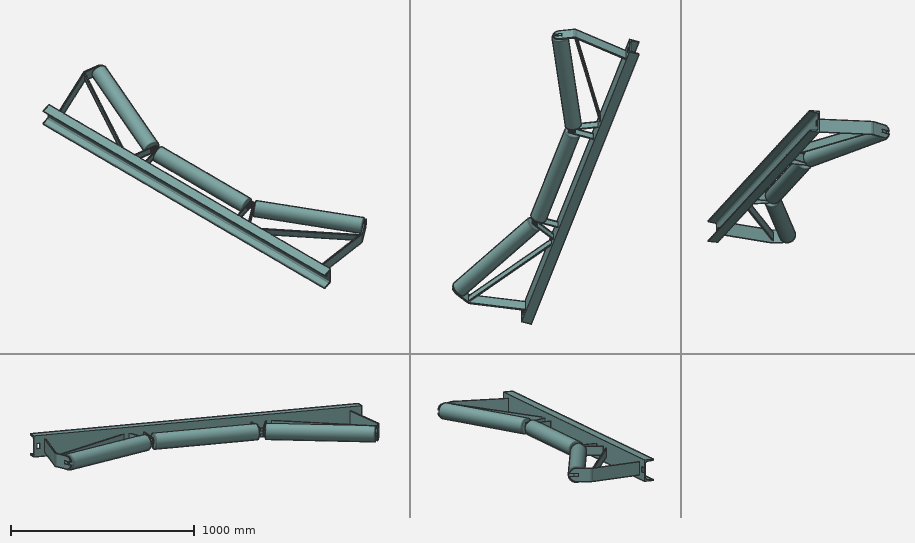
import cadquery as cq
import math


beam_length = 1900.0
beam_height = 120.0
beam_depth = 55.0
web_thickness = 8.0
flange_mean_thickness = 9.0
flange_slope = 0.08
root_radius = 8.0
toe_radius = 4.5
mount_slot_width = 17.0
mount_slot_height = 28.0
mount_slot_inset = 28.0

trough_angle = 25.0
roller_radius = 44.6
roller_length = 600.0
roller_rim = 4.0
shaft_diameter = 27.0
shaft_flat_width = 17.0
center_roller_height = 115.0
wing_roller_x = 620.0
wing_roller_height = 253.0

outer_plate_width = 75.0
inner_plate_width = 50.0
outer_plate_thickness = 8.0
inner_plate_thickness = 5.0
outer_foot_x = 887.0
outer_bend_x = 939.0
outer_bend_height = 308.0
outer_bend_radius = 19.0
inner_foot_x = 391.0
inner_upright_x = 308.0
inner_top_height = 142.0
brace_thickness = 8.0
brace_width = 45.0
brace_foot_x = 428.0
brace_angle = 31.7

tilt = math.radians(trough_angle)
axis_x = math.cos(tilt)
axis_y = math.sin(tilt)


def wing_axis_point(distance):
    """Point on the axis of the +X wing roller, measured outward from the roller's middle."""
    return (wing_roller_x + distance * axis_x, wing_roller_height + distance * axis_y)


def wing_axis_distance(x, y):
    """Distance of a point along the wing axis, measured outward from the roller's middle."""
    return (x - wing_roller_x) * axis_x + (y - wing_roller_height) * axis_y


wing_outer_reach = wing_axis_distance(outer_bend_x, outer_bend_height)
wing_inner_reach = -wing_axis_distance(inner_foot_x, 0)
center_reach = inner_upright_x


def extruded_plate(outline, width):
    """Plate with the given outline in the XY plane, centred on Z = 0."""
    return cq.Workplane("XY").workplane(offset=-width / 2).polyline(outline).close().extrude(width)


def fillet_edge(body, direction, point, radius):
    """Round the edge, among those with the given direction, whose middle is nearest to the point."""
    nearest = cq.selectors.NearestToPointSelector(point)
    return body.edges(direction).edges(nearest).fillet(radius)


def make_beam():
    """Channel with sloped inner flange faces, its open side facing -Y."""
    half = beam_height / 2
    mean_inner_z = half - flange_mean_thickness
    toe_z = mean_inner_z + flange_slope * beam_depth / 2
    root_z = toe_z - flange_slope * (beam_depth - web_thickness)
    outline = [
        (0, -half),
        (0, half),
        (-beam_depth, half),
        (-beam_depth, toe_z),
        (-web_thickness, root_z),
        (-web_thickness, -root_z),
        (-beam_depth, -toe_z),
        (-beam_depth, -half),
    ]
    beam_end = cq.Workplane("YZ").workplane(offset=-beam_length / 2)
    beam = beam_end.polyline(outline).close().extrude(beam_length)
    for side in (1, -1):
        beam = fillet_edge(beam, "|X", (0, -web_thickness, side * root_z), root_radius)
        beam = fillet_edge(beam, "|X", (0, -beam_depth, side * toe_z), toe_radius)
    slot_x = beam_length / 2 - mount_slot_inset
    slots = (
        cq.Workplane("XZ")
        .pushPoints([(-slot_x, 0), (slot_x, 0)])
        .rect(mount_slot_width, mount_slot_height)
        .extrude(2 * web_thickness, both=True)
    )
    return beam.cut(slots)


def make_roller(start_reach, end_reach):
    """Roller along X about the origin, with a shaft of two flats reaching the given distances each way."""
    shell_end = cq.Workplane("YZ").workplane(offset=-roller_length / 2)
    shell = shell_end.circle(roller_radius).extrude(roller_length)
    shell = shell.faces("<X or >X").edges().fillet(roller_rim)
    shaft_end = cq.Workplane("YZ").workplane(offset=-start_reach)
    shaft_length = start_reach + end_reach
    shaft = shaft_end.circle(shaft_diameter / 2).extrude(shaft_length)
    flats = shaft_end.rect(shaft_diameter, shaft_flat_width).extrude(shaft_length)
    return shell.union(shaft.intersect(flats))


def make_center_roller():
    """Level roller between the two inner brackets."""
    return make_roller(center_reach, center_reach).translate((0, center_roller_height, 0))


def make_wing_roller():
    """Tilted roller between the inner and outer brackets on the +X side."""
    roller = make_roller(wing_inner_reach, wing_outer_reach)
    roller = roller.rotate((0, 0, 0), (0, 0, 1), trough_angle)
    return roller.translate((wing_roller_x, wing_roller_height, 0))


def shaft_slot(plate_x, plate_y, angle, length):
    """Cutter for a slot, open away from the beam, whose floor touches the underside of a shaft."""
    depth = 2 * shaft_diameter
    slot = cq.Workplane("XY").box(depth, length, shaft_flat_width)
    slot = slot.translate((0, (length - shaft_diameter) / 2, 0))
    return slot.rotate((0, 0, 0), (0, 0, 1), angle).translate((plate_x, plate_y, 0))


def make_outer_bracket():
    """Leaning leg bent into a plate square to the wing roller, with a round end and an open shaft slot."""
    seat_x, seat_y = wing_axis_point(wing_outer_reach)
    thickness = outer_plate_thickness
    leg_angle = math.atan2(outer_bend_x - outer_foot_x, outer_bend_height)
    miter_angle = (tilt - leg_angle) / 2
    miter_length = thickness / math.cos((tilt + leg_angle) / 2)
    inner_bend_x = outer_bend_x - miter_length * math.cos(miter_angle)
    inner_bend_height = outer_bend_height - miter_length * math.sin(miter_angle)
    outline = [
        (outer_foot_x, 0),
        (outer_bend_x, outer_bend_height),
        (seat_x, seat_y),
        (seat_x - thickness * axis_x, seat_y - thickness * axis_y),
        (inner_bend_x, inner_bend_height),
        (outer_foot_x - thickness / math.cos(leg_angle), 0),
    ]
    bracket = extruded_plate(outline, outer_plate_width)
    bracket = fillet_edge(bracket, "|Z", (outer_bend_x, outer_bend_height, 0), outer_bend_radius)
    bracket = fillet_edge(bracket, "|Z", (inner_bend_x, inner_bend_height, 0), outer_bend_radius - thickness)
    seat_plane = cq.Plane(origin=(seat_x, seat_y, 0), xDir=(0, 0, 1), normal=(axis_x, axis_y, 0))
    round_end = cq.Workplane(seat_plane).circle(outer_plate_width / 2).extrude(-thickness)
    bracket = bracket.union(round_end)
    return bracket.cut(shaft_slot(seat_x, seat_y, trough_angle, outer_plate_width))


def make_inner_bracket():
    """Folded plate: upright beside the centre roller, narrow top, slanted leg beside the wing roller."""
    thickness = inner_plate_thickness
    shoulder_x = inner_foot_x - inner_top_height * math.tan(tilt)
    slant_run = thickness / axis_x
    inside_height = inner_top_height - thickness
    outline = [
        (inner_upright_x, 0),
        (inner_upright_x, inner_top_height),
        (shoulder_x + slant_run, inner_top_height),
        (inner_foot_x + slant_run, 0),
        (inner_foot_x, 0),
        (inner_foot_x - inside_height * math.tan(tilt), inside_height),
        (inner_upright_x + thickness, inside_height),
        (inner_upright_x + thickness, 0),
    ]
    bracket = extruded_plate(outline, inner_plate_width)
    bracket = bracket.cut(shaft_slot(inner_upright_x, center_roller_height, 0, inner_top_height))
    return bracket.cut(shaft_slot(*wing_axis_point(-wing_inner_reach), trough_angle, inner_top_height))


def make_brace(bracket):
    """Flat strut from the beam up to the bend of the outer bracket, trimmed where it meets the bracket."""
    slope = math.tan(math.radians(brace_angle))
    rise = brace_thickness / math.cos(math.radians(brace_angle))
    end_x = outer_bend_x - outer_plate_thickness / 2
    end_height = (end_x - brace_foot_x) * slope
    outline = [
        (brace_foot_x, 0),
        (brace_foot_x + rise / slope, 0),
        (end_x, end_height - rise),
        (end_x, end_height),
    ]
    brace = extruded_plate(outline, brace_width)
    return brace.cut(bracket)


beam = make_beam()
center_roller = make_center_roller()
wing_roller = make_wing_roller()
outer_bracket = make_outer_bracket()
inner_bracket = make_inner_bracket()
brace = make_brace(outer_bracket)

bodies = [beam.val(), center_roller.val()]
for body in (wing_roller, outer_bracket, inner_bracket, brace):
    bodies.append(body.val())
    bodies.append(body.mirror("YZ").val())

result = cq.Compound.makeCompound(bodies)